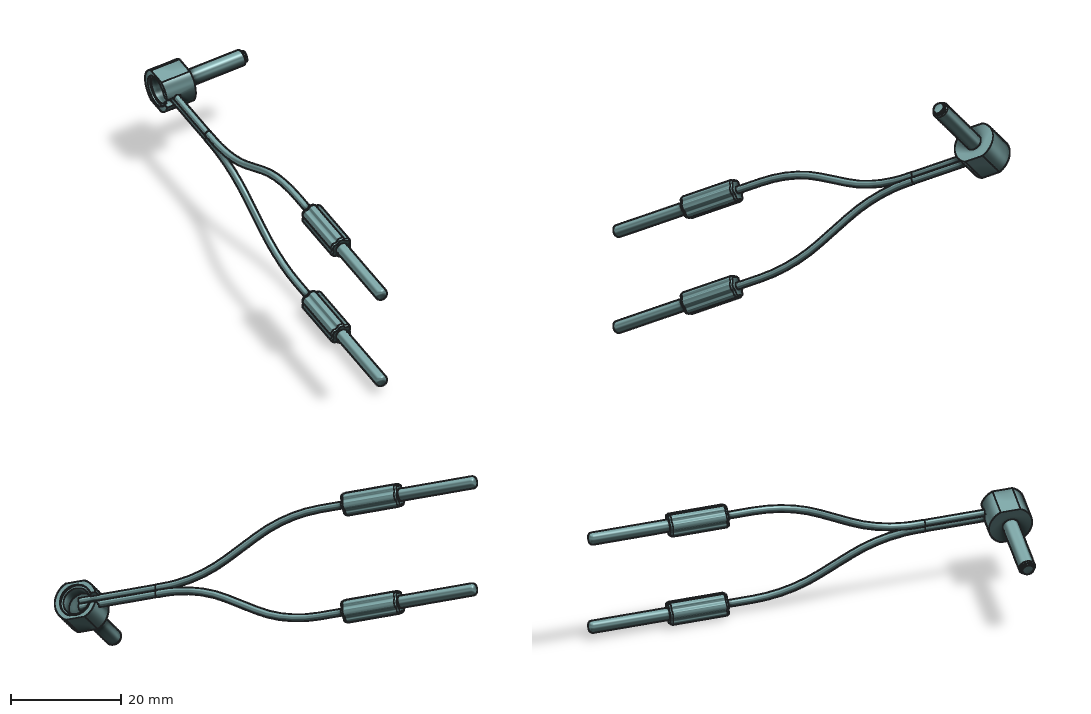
import cadquery as cq
import math

OVERALL_LENGTH = 82.0
HEAD_DIAMETER = 8.1
HEAD_DEPTH = 6.0
HEAD_ACROSS_FLATS = 7.2
HEAD_FRONT_Y = -2.05
RECESS_RADIUS = 3.0
RECESS_DEPTH = 0.5
BORE_RADIUS = 2.55
BORE_DEPTH = 3.1
SLOT_HEIGHT = 1.8
SLOT_DEPTH = 2.8

JACK_PIN_RADIUS = 1.52
JACK_PIN_LENGTH = 12.55
JACK_PIN_CHAMFER = 0.25
NUB_RADIUS = 1.1
NUB_LENGTH = 0.5

WIRE_RADIUS = 0.65
LEAD_RADIUS = 0.615
LEAD_OFFSET = 0.6
LEAD_LENGTH = 15.1
BEND_RADIUS = 24.9
BEND_ANGLE = 30.0
SLANT_LENGTH = 6.7
WIRE_END_LENGTH = 4.9

GRIP_LENGTH = 10.9
GRIP_DIAMETER = 4.35
GRIP_CHAMFER_DEPTH = 0.205
GRIP_CHAMFER_LENGTH = 0.4
GROOVE_COUNT = 6
GROOVE_RADIUS = 0.65
GROOVE_DEPTH = 0.3
GROOVE_EDGE_ROUND = 0.3
PLUG_PIN_RADIUS = 1.15
PLUG_PIN_LENGTH = 14.9
PLUG_PIN_TIP_ROUND = 0.7

HEAD_RADIUS = HEAD_DIAMETER / 2
GRIP_RADIUS = GRIP_DIAMETER / 2
BEND_RUN = BEND_RADIUS * math.sin(math.radians(BEND_ANGLE))
BEND_RISE = BEND_RADIUS * (1 - math.cos(math.radians(BEND_ANGLE)))
SLANT_RUN = SLANT_LENGTH * math.cos(math.radians(BEND_ANGLE))
SLANT_RISE = SLANT_LENGTH * math.sin(math.radians(BEND_ANGLE))
PLUG_Z = LEAD_OFFSET + 2 * BEND_RISE + SLANT_RISE
PIN_START_X = OVERALL_LENGTH - HEAD_RADIUS - PLUG_PIN_LENGTH
GRIP_START_X = PIN_START_X - GRIP_LENGTH
BRANCH_START_X = GRIP_START_X - WIRE_END_LENGTH - 2 * BEND_RUN - SLANT_RUN
HEAD_BACK_Y = HEAD_FRONT_Y + HEAD_DEPTH


def cylinder_along_x(radius, start_x, length, z):
    return cq.Workplane("YZ", origin=(start_x, 0, z)).circle(radius).extrude(length)


def cylinder_along_y(radius, start_y, length):
    return cq.Workplane("XZ", origin=(0, start_y, 0)).circle(radius).extrude(-length)


def branch_wire():
    """Upper branch: a short straight run, an S-bend of two equal arcs, and a straight end."""
    half_angle = math.radians(BEND_ANGLE / 2)
    mid_run = BEND_RADIUS * math.sin(half_angle)
    mid_rise = BEND_RADIUS * (1 - math.cos(half_angle))
    bend_end_x = GRIP_START_X - WIRE_END_LENGTH
    path = (
        cq.Workplane("XZ")
        .moveTo(LEAD_LENGTH, LEAD_OFFSET)
        .lineTo(BRANCH_START_X, LEAD_OFFSET)
        .threePointArc(
            (BRANCH_START_X + mid_run, LEAD_OFFSET + mid_rise),
            (BRANCH_START_X + BEND_RUN, LEAD_OFFSET + BEND_RISE),
        )
        .line(SLANT_RUN, SLANT_RISE)
        .threePointArc((bend_end_x - mid_run, PLUG_Z - mid_rise), (bend_end_x, PLUG_Z))
        .lineTo(GRIP_START_X, PLUG_Z)
    )
    section = cq.Workplane("YZ", origin=(LEAD_LENGTH, 0, LEAD_OFFSET)).circle(WIRE_RADIUS)
    return section.sweep(path)


def grip():
    """Grooved grip with chamfered ends, centred on the upper plug axis."""
    blank = cq.Workplane("YZ").circle(GRIP_RADIUS).extrude(GRIP_LENGTH)
    grooves = (
        cq.Workplane("YZ")
        .polarArray(GRIP_RADIUS - GROOVE_DEPTH + GROOVE_RADIUS, 0, 360, GROOVE_COUNT)
        .circle(GROOVE_RADIUS)
        .extrude(GRIP_LENGTH)
    )
    body = blank.cut(grooves).edges("|X").fillet(GROOVE_EDGE_ROUND)
    body = body.faces("<X or >X").chamfer(GRIP_CHAMFER_DEPTH, GRIP_CHAMFER_LENGTH)
    return body.translate((GRIP_START_X, 0, PLUG_Z))


def plug_pin():
    pin = cylinder_along_x(PLUG_PIN_RADIUS, PIN_START_X, PLUG_PIN_LENGTH, PLUG_Z)
    return pin.faces(">X").edges().fillet(PLUG_PIN_TIP_ROUND)


def make_harness():
    """Upper lead, branch, grip and plug pin, joined to their mirror image below Z = 0."""
    lead = cylinder_along_x(LEAD_RADIUS, 0, LEAD_LENGTH, LEAD_OFFSET)
    upper = lead.union(branch_wire()).union(grip()).union(plug_pin())
    return upper.union(upper.mirror("XY"))


def jack_pin():
    """Chamfered shaft with a smaller nub on its end."""
    shaft_length = JACK_PIN_LENGTH - NUB_LENGTH
    shaft = cylinder_along_y(JACK_PIN_RADIUS, HEAD_BACK_Y, shaft_length)
    shaft = shaft.faces(">Y").edges().chamfer(JACK_PIN_CHAMFER)
    return shaft.union(cylinder_along_y(NUB_RADIUS, HEAD_BACK_Y + shaft_length, NUB_LENGTH))


def make_jack(harness):
    """Flatted round head with a stepped front bore, a side slot gripping the lead, and a rear pin."""
    flat_stock = cq.Workplane("XY").box(HEAD_DIAMETER, 2 * HEAD_DEPTH, HEAD_ACROSS_FLATS)
    head = cylinder_along_y(HEAD_RADIUS, HEAD_FRONT_Y, HEAD_DEPTH).intersect(flat_stock)
    recess = cylinder_along_y(RECESS_RADIUS, HEAD_FRONT_Y, RECESS_DEPTH)
    bore = cylinder_along_y(BORE_RADIUS, HEAD_FRONT_Y, BORE_DEPTH)
    slot = cq.Workplane("XY", origin=(0, HEAD_FRONT_Y, 0)).box(
        HEAD_RADIUS, SLOT_DEPTH, SLOT_HEIGHT, centered=(False, False, True)
    )
    return head.union(jack_pin()).cut(recess).cut(bore).cut(slot).cut(harness)


harness = make_harness()
jack = make_jack(harness)
result = cq.Compound.makeCompound([*jack.vals(), *harness.vals()])